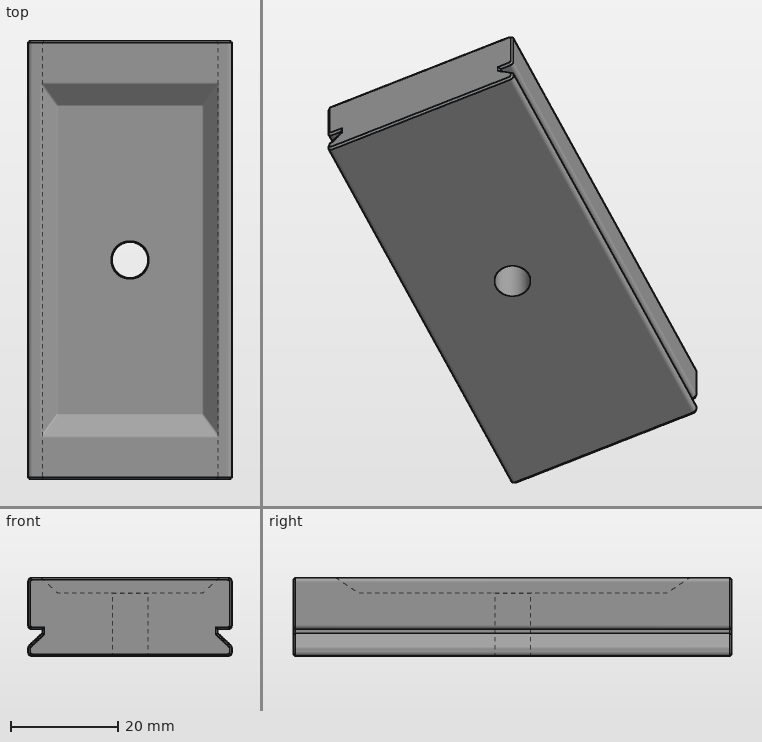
import cadquery as cq
width = 38.1
length = 82.0
height = 14.7

groove_depth = 2.6
groove_top_z = 5.0
groove_slope_top_z = 4.3
groove_slope_bottom_z = 1.8

long_edge_radius = 0.8
end_chamfer = 0.4

pocket_width = 33.2
pocket_length = 66.0
floor_width = 27.2
floor_length = 57.7
pocket_depth = 2.8
pocket_edge_radius = 0.4

hole_diameter = 6.7
hole_rim_chamfer = 0.2

half_width = width / 2
groove_x = half_width - groove_depth
floor_z = height - pocket_depth


def make_block():
    """Grooved bar, symmetric about the YZ plane, with rounded long edges and chamfered ends."""
    right_side = [
        (half_width, 0),
        (half_width, groove_slope_bottom_z),
        (groove_x, groove_slope_top_z),
        (groove_x, groove_top_z),
        (half_width, groove_top_z),
        (half_width, height),
    ]
    left_side = [(-x, z) for x, z in reversed(right_side)]
    bar = cq.Workplane("XZ").polyline(right_side + left_side).close().extrude(length / 2, both=True)
    outer_long_edges = bar.edges("|Y").filter(
        lambda edge: abs(edge.Center().x) > half_width - groove_depth / 2
    )
    return outer_long_edges.fillet(long_edge_radius).faces("<Y or >Y").chamfer(end_chamfer)


def make_pocket():
    """Volume with sloping walls, narrower at the floor, rounded at the corners and around the floor."""
    return (
        cq.Workplane("XY", origin=(0, 0, floor_z))
        .rect(floor_width, floor_length)
        .workplane(offset=pocket_depth)
        .rect(pocket_width, pocket_length)
        .loft(ruled=True)
        .edges("not >Z")
        .fillet(pocket_edge_radius)
    )


def cut_pocket(block):
    """Cut the pocket and round its rim where the walls meet the top face."""
    pocketed = block.cut(make_pocket())
    rim = pocketed.faces(">Z").val().innerWires()[0]
    return pocketed.newObject(rim.Edges()).fillet(pocket_edge_radius)


def make_hole():
    """Through hole whose rim is broken by a small chamfer at the pocket floor."""
    bore = cq.Workplane("XY").circle(hole_diameter / 2).extrude(floor_z)
    rim = (
        cq.Workplane("XY", origin=(0, 0, floor_z - hole_rim_chamfer))
        .circle(hole_diameter / 2)
        .workplane(offset=hole_rim_chamfer)
        .circle(hole_diameter / 2 + hole_rim_chamfer)
        .loft()
    )
    return bore.union(rim)


result = cut_pocket(make_block()).cut(make_hole())